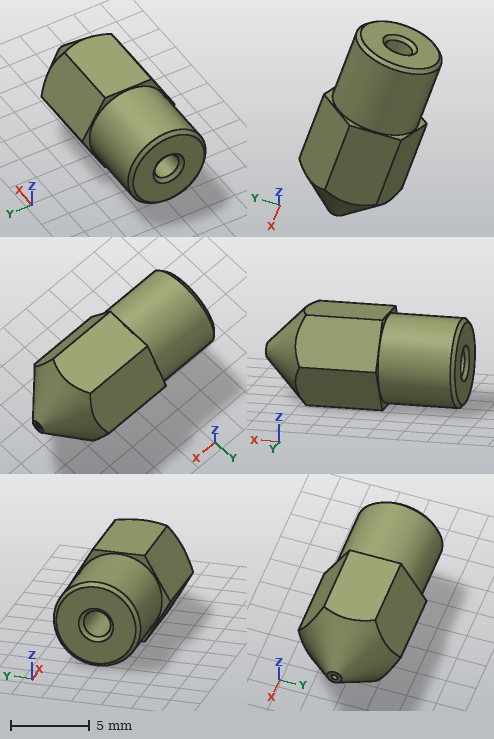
import cadquery as cq
import math

total_length = 13.0
shank_length = 5.0
shank_diameter = 5.8
shank_chamfer = 0.25
hex_across_flats = 6.0
tip_diameter = 1.0
tip_half_angle = 45.0

bore_diameter = 1.8
bore_mouth_diameter = 2.3
bore_depth = 10.01
funnel_diameter = 1.4
orifice_diameter = 0.4
funnel_half_angle = 45.0

hex_across_corners = hex_across_flats / math.cos(math.radians(30))


def revolve_about_x(points):
    """Revolve a closed (x, radius) profile around the X axis."""
    return cq.Workplane("XY").polyline(points).close().revolve(360, (0, 0, 0), (1, 0, 0))


def make_shank():
    shank = cq.Workplane("YZ").circle(shank_diameter / 2).extrude(shank_length)
    return shank.faces("<X").chamfer(shank_chamfer)


def make_hex_head():
    """Hexagonal head with flats facing up and down, trimmed by the tip cone."""
    head = (
        cq.Workplane("YZ", origin=(shank_length, 0, 0))
        .polygon(6, hex_across_corners)
        .extrude(total_length - shank_length)
    )
    corner_radius = hex_across_corners / 2
    tip_radius = tip_diameter / 2
    cone_length = (corner_radius - tip_radius) / math.tan(math.radians(tip_half_angle))
    envelope = revolve_about_x([
        (shank_length, 0),
        (shank_length, corner_radius),
        (total_length - cone_length, corner_radius),
        (total_length, tip_radius),
        (total_length, 0),
    ])
    return head.intersect(envelope)


def make_flow_channel():
    """Chamfered bore, stepping into a funnel that narrows to the orifice."""
    bore_radius = bore_diameter / 2
    mouth_radius = bore_mouth_diameter / 2
    funnel_radius = funnel_diameter / 2
    orifice_radius = orifice_diameter / 2
    mouth_depth = mouth_radius - bore_radius
    funnel_length = (funnel_radius - orifice_radius) / math.tan(math.radians(funnel_half_angle))
    return revolve_about_x([
        (0, 0),
        (0, mouth_radius),
        (mouth_depth, bore_radius),
        (bore_depth, bore_radius),
        (bore_depth, funnel_radius),
        (bore_depth + funnel_length, orifice_radius),
        (total_length, orifice_radius),
        (total_length, 0),
    ])


result = make_shank().union(make_hex_head()).cut(make_flow_channel())